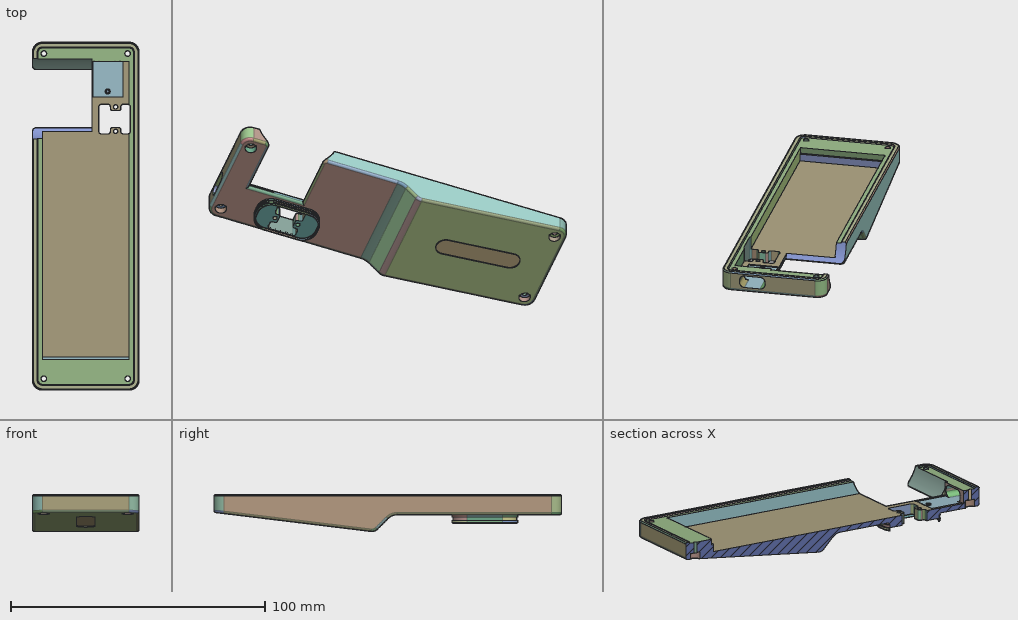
import cadquery as cq
import math

WIDTH = 42.1
LENGTH = 137.0
DEPTH = 14.55
BODY_BOTTOM = -8.0
FRONT_END_BOTTOM = -7.0
CORNER_RADIUS = 4.0
BOTTOM_FILLET = 1.0
TOP_CHAMFER = 0.5

RAMP_START_Y = 1.6
RAMP_ANGLE = 45.0
RAMP_TOP_RADIUS = 5.0
BELLY_RADIUS = 3.0

SEAT_MARGIN = 1.9
SEAT_DEPTH = 0.5
SEAT_TAPER = 0.4
SEAT_STRAIGHT_WALL = 0.1

POCKET_HALF_WIDTH = 17.05
POCKET_FLOOR = -5.75
POCKET_FRONT_Y = -56.4
POCKET_BACK_Y = 60.9
LEDGE_WIDTH = 1.0
LEDGE_Z = POCKET_FLOOR / 2

OPENING_Y = 46.25
OPENING_HALF_LENGTH = 11.3
OPENING_INNER_X = 2.4
OPENING_CORNER_RADIUS = 1.8
CHANNEL_RADIUS = 16.5
CHANNEL_AXIS_Z = 4.55

WINDOW_X = (5.2, 17.5)
WINDOW_Y = (32.4, 44.0)
WINDOW_RADIUS = 0.9
TAB_X = 11.75
TAB_WIDTH = 4.2
TAB_LENGTH = 2.5
TAB_HOLE_DIAMETER = 1.6
TAB_HOLE_INSET = 1.0

PLUG_X = (4.2, 18.4)
PLUG_LENGTH = 26.0
PLUG_RADIUS = 6.0
PLUG_BOTTOM = -11.3
PLUG_CHAMFER = 0.4
PLUG_LIP_WALL = 0.6
GROOVE_TOP = -8.8
GROOVE_BOTTOM = -10.1
GROOVE_DEPTH = 0.4

BOARD_X = (2.77, 14.6)
BOARD_FRONT_Y = 46.9
BOARD_DEPTH = 0.4
POST_X = 8.65
POST_Y = 49.1
POST_DIAMETER = 2.0
POST_HOLE_DIAMETER = 1.2
TUNNEL_X = (3.2, 13.5)
TUNNEL_TOP = -1.2
TUNNEL_RADIUS = 2.0

SCREW_X = 16.5
SCREW_Y = 64.0
SCREW_DIAMETER = 2.1
COUNTERBORE_DIAMETER = 4.5
COUNTERBORE_TOP = -5.0

RECESS_WIDTH = 7.4
RECESS_Y = (-55.5, -20.5)
RECESS_DEPTH = 0.4

OVERCUT = 5.0
CORNER_ITERATIONS = 20

HALF_WIDTH = WIDTH / 2
HALF_LENGTH = LENGTH / 2
BOARD_FLOOR = POCKET_FLOOR - BOARD_DEPTH
OPENING_Y_RANGE = (OPENING_Y - OPENING_HALF_LENGTH, OPENING_Y + OPENING_HALF_LENGTH)
WINDOW_MID_Y = sum(WINDOW_Y) / 2


def box(x_range, y_range, z_range):
    """Box given by its limits along each axis."""
    size = [high - low for low, high in (x_range, y_range, z_range)]
    return cq.Workplane("XY").box(*size, centered=False).translate((x_range[0], y_range[0], z_range[0]))


def cylinder(x, y, diameter, z_range):
    """Upright cylinder."""
    low, high = z_range
    return cq.Workplane("XY", origin=(x, y, low)).circle(diameter / 2).extrude(high - low)


def fillet_nearest(block, radius, *points):
    """Round, for each point, the edge whose middle lies nearest to it."""
    picked = [block.edges(cq.selectors.NearestToPointSelector(point)).val() for point in points]
    return block.newObject([block.val().fillet(radius, picked)])


def belly_corner():
    """Sharp corner (y, z) between ramp and slope that puts the rounded belly at full depth.

    The slope depends on the corner and the corner on the slope, so they are refined in turn.
    """
    ramp = math.radians(RAMP_ANGLE)
    z = -DEPTH
    for _ in range(CORNER_ITERATIONS):
        y = RAMP_START_Y - (BODY_BOTTOM - z) / math.tan(ramp)
        slope = math.atan2(FRONT_END_BOTTOM - z, y + HALF_LENGTH)
        rise = math.cos((ramp - slope) / 2) / math.cos((ramp + slope) / 2) - 1
        z = -DEPTH - BELLY_RADIUS * rise
    return y, z


BELLY_Y, BELLY_Z = belly_corner()
SLOPE_ANGLE = math.atan2(FRONT_END_BOTTOM - BELLY_Z, BELLY_Y + HALF_LENGTH)


def body():
    """Outer block with its belly and its side opening, all outer edges eased."""
    profile = [
        (-HALF_LENGTH, 0),
        (HALF_LENGTH, 0),
        (HALF_LENGTH, BODY_BOTTOM),
        (RAMP_START_Y, BODY_BOTTOM),
        (BELLY_Y, BELLY_Z),
        (-HALF_LENGTH, FRONT_END_BOTTOM),
    ]
    block = cq.Workplane("YZ").polyline(profile).close().extrude(HALF_WIDTH, both=True)
    block = fillet_nearest(block, RAMP_TOP_RADIUS, (0, RAMP_START_Y, BODY_BOTTOM))
    block = fillet_nearest(block, BELLY_RADIUS, (0, BELLY_Y, BELLY_Z))
    block = block.edges("|Z").fillet(CORNER_RADIUS)
    block = block.faces(">Z").chamfer(TOP_CHAMFER)
    block = block.cut(box((-HALF_WIDTH - OVERCUT, OPENING_INNER_X), OPENING_Y_RANGE, (-DEPTH, OVERCUT)))
    corners = [(-HALF_WIDTH, y, BODY_BOTTOM / 2) for y in OPENING_Y_RANGE]
    block = fillet_nearest(block, OPENING_CORNER_RADIUS, *corners)
    outer_bottom_edge = (0, HALF_LENGTH, BODY_BOTTOM)
    opening_bottom_edge = (OPENING_INNER_X, OPENING_Y, BODY_BOTTOM)
    return fillet_nearest(block, BOTTOM_FILLET, outer_bottom_edge, opening_bottom_edge)


def lid_seat():
    """Cutter for the seat in the rim, narrowing towards its floor."""
    seat = cq.Workplane("XY").rect(WIDTH - 2 * SEAT_MARGIN, LENGTH - 2 * SEAT_MARGIN).extrude(-SEAT_DEPTH)
    seat = seat.edges("|Z").fillet(CORNER_RADIUS - SEAT_MARGIN)
    return seat.faces("<Z").chamfer(SEAT_DEPTH - SEAT_STRAIGHT_WALL, SEAT_TAPER)


def pocket():
    """Cutter for the main pocket, its front ledge and its narrower back end beside the opening."""
    width = (-POCKET_HALF_WIDTH, POCKET_HALF_WIDTH)
    ledge = box(width, (POCKET_FRONT_Y, OPENING_Y), (LEDGE_Z, 0))
    main = box(width, (POCKET_FRONT_Y + LEDGE_WIDTH, OPENING_Y), (POCKET_FLOOR, 0))
    back = box((OPENING_INNER_X, POCKET_HALF_WIDTH), (OPENING_Y, POCKET_BACK_Y), (POCKET_FLOOR, 0))
    return ledge.union(main).union(back)


def channel():
    """Cutter for the cylindrical channel that widens the side opening towards the top."""
    start_x = -HALF_WIDTH - OVERCUT
    return (
        cq.Workplane("YZ", origin=(start_x, OPENING_Y, CHANNEL_AXIS_Z))
        .circle(CHANNEL_RADIUS)
        .extrude(OPENING_INNER_X - start_x)
    )


def plug_slab(inset, z_range):
    """Slab with the plug's outline moved inwards."""
    x_range = (PLUG_X[0] + inset, PLUG_X[1] - inset)
    y_reach = PLUG_LENGTH / 2 - inset
    y_range = (WINDOW_MID_Y - y_reach, WINDOW_MID_Y + y_reach)
    return box(x_range, y_range, z_range).edges("|Z").fillet(PLUG_RADIUS - inset)


def plug():
    """Grooved plug below the window, hollow underneath within a thin lip."""
    solid = plug_slab(0, (PLUG_BOTTOM, POCKET_FLOOR)).faces("<Z").chamfer(PLUG_CHAMFER)
    groove_z = (GROOVE_BOTTOM, GROOVE_TOP)
    groove = plug_slab(0, groove_z).cut(plug_slab(GROOVE_DEPTH, groove_z))
    return solid.cut(groove).cut(plug_slab(PLUG_LIP_WALL, (PLUG_BOTTOM, GROOVE_BOTTOM)))


def window():
    """Cutter for the window through floor and plug, leaving two drilled tabs."""
    height = (PLUG_BOTTOM - OVERCUT, 0)
    tab_sides = ((WINDOW_Y[0], 1), (WINDOW_Y[1], -1))
    cutter = box(WINDOW_X, WINDOW_Y, height)
    tab_x = (TAB_X - TAB_WIDTH / 2, TAB_X + TAB_WIDTH / 2)
    for edge_y, inward in tab_sides:
        tab_y = sorted((edge_y, edge_y + inward * TAB_LENGTH))
        cutter = cutter.cut(box(tab_x, tab_y, height))
    cutter = cutter.edges("|Z").fillet(WINDOW_RADIUS)
    for edge_y, inward in tab_sides:
        cutter = cutter.union(cylinder(TAB_X, edge_y + inward * TAB_HOLE_INSET, TAB_HOLE_DIAMETER, height))
    return cutter


def board_seat():
    """Cutter for the board seat and the connector tunnel leading out through the back wall."""
    seat = box(BOARD_X, (BOARD_FRONT_Y, POCKET_BACK_Y), (BOARD_FLOOR, POCKET_FLOOR))
    tunnel = box(TUNNEL_X, (POCKET_BACK_Y, HALF_LENGTH), (BOARD_FLOOR, TUNNEL_TOP))
    return seat.union(tunnel.edges("|Y").fillet(TUNNEL_RADIUS))


def board_post():
    """Hollow post standing in the board seat."""
    height = (BOARD_FLOOR, POCKET_FLOOR)
    post = cylinder(POST_X, POST_Y, POST_DIAMETER, height)
    return post.cut(cylinder(POST_X, POST_Y, POST_HOLE_DIAMETER, height))


def corner_screws():
    """Cutter for the four corner screw holes, counterbored from below."""
    cutter = cq.Workplane("XY")
    for x in (-SCREW_X, SCREW_X):
        for y in (-SCREW_Y, SCREW_Y):
            cutter = cutter.add(cylinder(x, y, SCREW_DIAMETER, (-DEPTH, 0)))
            cutter = cutter.add(cylinder(x, y, COUNTERBORE_DIAMETER, (-DEPTH, COUNTERBORE_TOP)))
    return cutter.combine()


def underside_recess():
    """Cutter for the round-ended recess, set square to the sloping underside."""
    mid_y = sum(RECESS_Y) / 2
    mid_z = FRONT_END_BOTTOM - (mid_y + HALF_LENGTH) * math.tan(SLOPE_ANGLE)
    length = (RECESS_Y[1] - RECESS_Y[0]) / math.cos(SLOPE_ANGLE)
    plane = cq.Plane(
        origin=(0, mid_y, mid_z),
        xDir=(0, math.cos(SLOPE_ANGLE), -math.sin(SLOPE_ANGLE)),
        normal=(0, math.sin(SLOPE_ANGLE), math.cos(SLOPE_ANGLE)),
    )
    return cq.Workplane(plane).slot2D(length, RECESS_WIDTH).extrude(RECESS_DEPTH, both=True)


result = (
    body()
    .union(plug())
    .cut(lid_seat())
    .cut(pocket())
    .cut(channel())
    .cut(window())
    .cut(board_seat())
    .union(board_post())
    .cut(corner_screws())
    .cut(underside_recess())
)